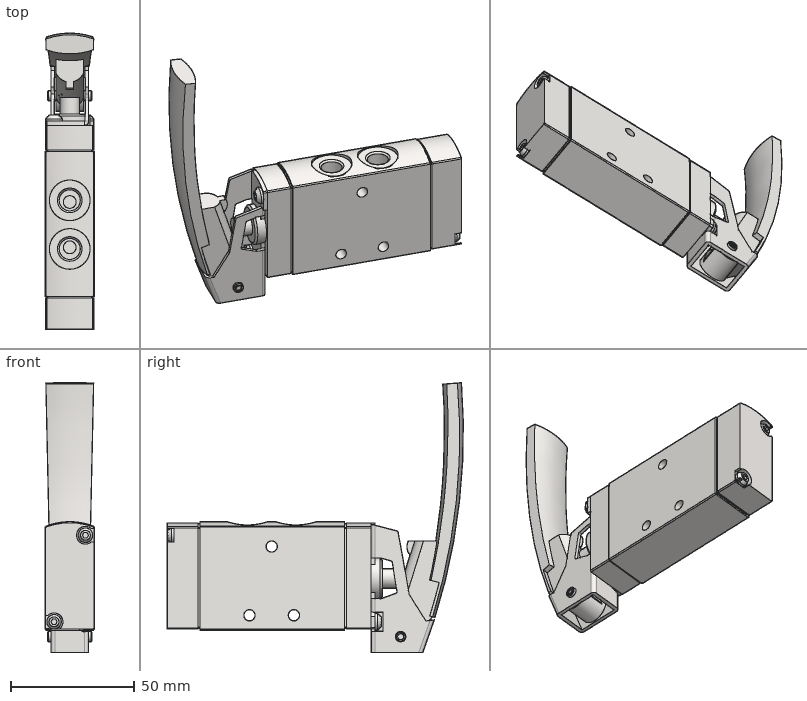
import cadquery as cq
import math


block_width = 20.0
block_edge_height = 42.3
block_crown_height = 44.0
cap_width = 19.5
cap_bottom = 0.5
cap_edge_height = 42.0
cap_crown_height = 43.6
edge_chamfer = 0.5
seal_width = 0.7
seal_inset = 0.4
rear_cap_length = 12.6
block_start = rear_cap_length + seal_width
block_length = 58.6
block_end = block_start + block_length
front_cap_start = block_end + seal_width
front_face = 82.6

port_spacing = 19.7
port_middle = 42.4
port_face_diameter = 16.5
port_face_height = 42.5
port_diameter = 8.5
port_mouth_diameter = 10.0
port_depth = 10.8
passage_diameter = 5.2
passage_spacing = 18.4
passage_depth = 21.6

mount_hole_diameter = 4.5
mount_hole_spacing = 18
mount_upper_height = 34.0
mount_lower_height = 6.1

screw_offset = 6.4
screw_low = 3.5
screw_high = 38.5
screw_places = ((-1, screw_high), (1, screw_low))
shank_diameter = 4.0
front_head_diameter = 6.8
rear_head_diameter = 5.9
head_tip_diameter = 4.0
head_rim = 0.8
head_height = 2.1
socket_size = 2.5
socket_depth = 1
counterbore_diameter = 7.2
counterbore_slot_height = 5.3
counterbore_depth = 2.8

button_height = 21.0
collar_diameter = 16.5
collar_length = 4.6
collar_chamfer = 0.8
button_diameter = 8.0
button_end = 93.9

sheet = 1.7
side_sheet = 1.5
bend_radius = 1.6
bracket_width = 15.2
bracket_bottom = -9.0
web_front = front_face + sheet
right_side_height = 42.6
left_side_height = 33.3
back_top = (108.3, 4.3)
back_bottom = (103.6, bracket_bottom)
upper_corner = (93.5, 40.2)
shoulder = (95.3, 30.5)
corner_radius = 1.0
relief_diameter = 8.0
relief_length = 3.1
window_top = 29.3
window_bottom = 12.8
window_corners = ((91.1, 28.0), (93.2, 15.2))
window_radius = 0.7

pin_y = 94.6
pin_z = -2.5
pin_diameter = 4.2
pin_length = 18
pin_chamfer = 0.4
pin_recess_diameter = 2.4
pin_recess_depth = 0.6

grip_center_z = 80.4
back_radius = 252.1
back_y = 120
back_crown = 1.7
front_radius = 282.1
front_y = 112.2
front_crown = 1.7
lever_top = 100.4
grip_bottom = 18.8
skin_bottom = 5.2
skin_thickness = 2.3
grip_half_width = 9.7
foot_half_width = 7.6
core_half_width = 5.6
core_top = 36.3
core_bottom = -4.8
core_shoulder_y = 103.8
core_nose_y = 100.1
core_lean = 0.31
nub_width = 3.1
nub_tip_y = 97.1
nub_height = 5.5
hub_radius = 6.4
hub_front = pin_y - hub_radius

slab_depth = 14.4
far = 144


def y_cylinder(x, z, diameter, start, end):
    """Round bar along Y."""
    return (
        cq.Workplane("XZ", origin=(x, start, z))
        .circle(diameter / 2)
        .extrude(start - end)
    )


def x_box(x_range, y_range, z_range):
    """Box between three pairs of limits."""
    low, high = zip(x_range, y_range, z_range)
    size = [top - bottom for bottom, top in zip(low, high)]
    return cq.Workplane("XY").box(*size, centered=False).translate(low)


def x_cylinder(y, z, diameter, length):
    """Round bar along X, centred on X = 0."""
    return cq.Workplane("YZ", origin=(0, y, z)).circle(diameter / 2).extrude(length / 2, both=True)


def side_plate(points, half_width):
    """Y-Z outline extruded equally to both sides."""
    return cq.Workplane("YZ").polyline(points).close().extrude(half_width, both=True)


def crowned_bar(width, bottom, edge_height, crown_height, start, end):
    """Bar along Y with chamfered corners and a crowned top."""
    half = width / 2
    c = edge_chamfer
    return (
        cq.Workplane("XZ", origin=(0, start, 0))
        .moveTo(c - half, bottom)
        .lineTo(half - c, bottom)
        .lineTo(half, bottom + c)
        .lineTo(half, edge_height - c)
        .lineTo(half - c, edge_height)
        .threePointArc((0, crown_height), (c - half, edge_height))
        .lineTo(-half, edge_height - c)
        .lineTo(-half, bottom + c)
        .close()
        .extrude(start - end)
    )


def cap_bar(start, end, inset=0):
    """Length of end cap profile, optionally inset all round."""
    return crowned_bar(
        cap_width - 2 * inset,
        cap_bottom + inset,
        cap_edge_height - inset,
        cap_crown_height - inset,
        start,
        end,
    )


def make_screw(x, z, head_diameter, seat, direction, shank_end):
    """Button head screw along Y; the head rises from the seat in the given direction (+1 or -1)."""
    rim = seat + direction * head_rim
    tip = seat + direction * head_height
    dome = (
        cq.Workplane("XY", origin=(x, 0, z))
        .moveTo(0, seat)
        .lineTo(head_diameter / 2, seat)
        .lineTo(head_diameter / 2, rim)
        .lineTo(head_tip_diameter / 2, tip)
        .lineTo(0, tip)
        .close()
        .revolve(360, (0, 0, 0), (0, 1, 0))
    )
    socket = (
        cq.Workplane("XZ", origin=(x, tip, z))
        .polygon(6, socket_size)
        .extrude(direction * socket_depth)
    )
    return dome.union(y_cylinder(x, z, shank_diameter, seat, shank_end)).cut(socket)


def make_block():
    """Valve block with two ports on top and three mounting holes across."""
    block = crowned_bar(
        block_width, 0, block_edge_height, block_crown_height, block_start, block_end
    )
    mouth_chamfer = (port_mouth_diameter - port_diameter) / 2
    for side in (-1, 1):
        port = cq.Workplane("XY", origin=(0, port_middle + side * port_spacing / 2, port_face_height))
        spotface = port.circle(port_face_diameter / 2).extrude(block_crown_height)
        bore = port.circle(port_diameter / 2).extrude(-port_depth)
        mouth = port.circle(port_mouth_diameter / 2).extrude(-mouth_chamfer, taper=45)
        passage = (
            cq.Workplane("XY", origin=(0, port_middle + side * passage_spacing / 2, port_face_height))
            .circle(passage_diameter / 2)
            .extrude(-passage_depth)
        )
        block = block.cut(spotface).cut(bore).cut(mouth).cut(passage)
    mount_places = (
        (port_middle, mount_upper_height),
        (port_middle - mount_hole_spacing / 2, mount_lower_height),
        (port_middle + mount_hole_spacing / 2, mount_lower_height),
    )
    for y, z in mount_places:
        block = block.cut(x_cylinder(y, z, mount_hole_diameter, block_width))
    return block


def make_rear_cap():
    """Plain end cap with two sunk screw heads."""
    cap = cap_bar(0, rear_cap_length).union(cap_bar(rear_cap_length, block_start, seal_inset))
    for side, z in screw_places:
        x = -side * screw_offset
        cap = cap.cut(y_cylinder(x, z, counterbore_diameter, 0, counterbore_depth))
        half_slot = counterbore_slot_height / 2
        slot_x = sorted((x, -side * cap_width))
        cap = cap.cut(x_box(slot_x, (0, counterbore_depth), (z - half_slot, z + half_slot)))
        cap = cap.union(make_screw(x, z, rear_head_diameter, counterbore_depth, -1.2, rear_cap_length))
    return cap


def make_front_cap():
    """Lever end cap with its push button and the two screws that hold the bracket."""
    cap = cap_bar(front_cap_start, front_face).union(cap_bar(block_end, front_cap_start, seal_inset))
    collar = y_cylinder(0, button_height, collar_diameter, front_face, front_face + collar_length)
    collar = collar.faces(">Y").chamfer(collar_chamfer)
    button = y_cylinder(0, button_height, button_diameter, front_face, button_end)
    cap = cap.union(collar).union(button)
    for side, z in screw_places:
        x = side * screw_offset
        cap = cap.union(make_screw(x, z, front_head_diameter, web_front, 1.2, front_face))
    return cap


def near(place):
    """Selector for edges, on any X, whose middle is close to a Y-Z place."""
    reach = 0.6
    y, z = place
    return cq.selectors.BoxSelector((-far, y - reach, z - reach), (far, y + reach, z + reach))


def make_folded_sheet():
    """Web, two equal sides and slanted back, folded with rounded outer bends."""
    half = bracket_width / 2
    outline = [
        (front_face, bracket_bottom),
        back_bottom,
        back_top,
        (104.8, 3.8),
        (98.1, 14.5),
        shoulder,
        upper_corner,
        (web_front, right_side_height),
        (front_face, right_side_height),
    ]
    hollow = [
        (web_front, -far),
        (back_bottom[0] - sheet, -far),
        (back_bottom[0] - sheet, bracket_bottom),
        (back_top[0] - sheet, back_top[1]),
        (back_top[0] - sheet, far),
        (web_front, far),
    ]
    folded = side_plate(outline, half)
    folded = folded.edges(near(upper_corner)).fillet(corner_radius)
    folded = folded.edges("|Z").edges("<Y").fillet(bend_radius)
    back_middle = [(low + high) / 2 for low, high in zip(back_bottom, back_top)]
    folded = folded.edges(near(back_middle)).fillet(bend_radius)
    return folded.cut(side_plate(hollow, half - side_sheet))


def cut_down_left_side():
    """Space above the left side, which leaves the upper screw in reach."""
    outline = [
        (front_face, left_side_height),
        (web_front, left_side_height),
        shoulder,
        (far, shoulder[1]),
        (far, far),
        (front_face, far),
    ]
    return cq.Workplane("YZ").polyline(outline).close().extrude(-bracket_width)


def make_ears():
    """Web extensions under the two screw heads, as wide as the cap."""
    web_range = (front_face, web_front)
    half_cap = cap_width / 2
    upper = cap_bar(front_face, web_front).intersect(
        x_box((-half_cap, bracket_width / 2 - sheet), web_range, (left_side_height, far))
    )
    lower = y_cylinder(screw_offset, screw_low, relief_diameter, front_face, web_front)
    lower = lower.intersect(x_box((0, half_cap), web_range, (cap_bottom, far)))
    return upper.union(lower)


def bracket_window():
    """Opening through both sides and their bends, beside the button."""
    outline = [
        (front_face, window_top),
        (86.4, window_top),
        *window_corners,
        (86.5, window_bottom),
        (front_face, window_bottom),
    ]
    window = side_plate(outline, bracket_width)
    for corner in window_corners:
        window = window.edges(near(corner)).fillet(window_radius)
    bend_start = bracket_width / 2 - sheet
    web = x_box((-bend_start, bend_start), (front_face, web_front), (window_bottom, window_top))
    return window.cut(web)


def make_bracket():
    """Folded sheet bracket that carries the lever."""
    relief_end = web_front + relief_length
    bracket = make_folded_sheet()
    bracket = bracket.cut(cut_down_left_side())
    bracket = bracket.cut(y_cylinder(screw_offset, screw_low, relief_diameter, front_face, relief_end))
    bracket = bracket.union(make_ears()).cut(bracket_window())
    bracket = bracket.cut(y_cylinder(0, button_height, collar_diameter, front_face, web_front))
    for side, z in screw_places:
        bracket = bracket.cut(y_cylinder(side * screw_offset, z, shank_diameter, front_face, web_front))
    return bracket.cut(x_cylinder(pin_y, pin_z, pin_diameter, bracket_width))


def make_pin():
    """Hinge pin with a shallow recess in each end."""
    pin = x_cylinder(pin_y, pin_z, pin_diameter, pin_length)
    pin = pin.faces("<X or >X").chamfer(pin_chamfer)
    recesses = x_cylinder(pin_y, pin_z, pin_recess_diameter, pin_length).cut(
        x_cylinder(pin_y, pin_z, pin_recess_diameter, pin_length - 2 * pin_recess_depth)
    )
    return pin.cut(recesses)


def swept(section, outer_y, radius, z_top, z_bottom):
    """Turn a section about an X axis so that its Y = outer_y follows an arc between two heights."""
    axis_y = outer_y - radius

    def turn_angle(z):
        return math.degrees(math.asin((z - grip_center_z) / radius))

    turned = section.revolve(turn_angle(z_top) - turn_angle(z_bottom), (0, axis_y, 0), (1, axis_y, 0))
    return turned.rotate((0, axis_y, grip_center_z), (1, axis_y, grip_center_z), turn_angle(z_bottom))


def back_slab(thickness, z_top, z_bottom):
    """Curved slab with a crowned back."""
    edge = back_y - back_crown
    section = (
        cq.Workplane("XY", origin=(0, 0, grip_center_z))
        .moveTo(-grip_half_width, edge)
        .threePointArc((0, back_y), (grip_half_width, edge))
        .lineTo(grip_half_width, back_y - thickness)
        .lineTo(-grip_half_width, back_y - thickness)
        .close()
    )
    return swept(section, back_y, back_radius, z_top, z_bottom)


def front_slab():
    """Curved slab with a bulged front, longer and deeper than the grip."""
    edge = front_y + front_crown
    section = (
        cq.Workplane("XY", origin=(0, 0, grip_center_z))
        .moveTo(-grip_half_width, edge)
        .threePointArc((0, front_y), (grip_half_width, edge))
        .lineTo(grip_half_width, edge + slab_depth)
        .lineTo(-grip_half_width, edge + slab_depth)
        .close()
    )
    return swept(section, front_y, front_radius, 2 * grip_center_z, -grip_center_z)


def make_handle():
    """Grip and the thin skin below it, tapered to the foot."""
    grip = back_slab(slab_depth, lever_top, grip_bottom).intersect(front_slab())
    skin = back_slab(skin_thickness, grip_bottom, skin_bottom)
    taper = (
        cq.Workplane("XZ")
        .moveTo(-foot_half_width, 0)
        .lineTo(foot_half_width, 0)
        .lineTo(grip_half_width, lever_top)
        .lineTo(grip_half_width, far)
        .lineTo(-grip_half_width, far)
        .lineTo(-grip_half_width, lever_top)
        .close()
        .extrude(-far)
    )
    return grip.union(skin).intersect(taper)


def make_core():
    """Leaning core with a rounded front, from the grip down to the hinge hub."""
    height = core_top - core_bottom
    section = (
        cq.Workplane("XY", origin=(0, 0, core_top))
        .moveTo(-core_half_width, far)
        .lineTo(-core_half_width, core_shoulder_y)
        .threePointArc((0, core_nose_y), (core_half_width, core_shoulder_y))
        .lineTo(core_half_width, far)
        .close()
        .wire()
    )
    lean = cq.Vector(0, -core_lean * height, -height)
    column = cq.Workplane(cq.Solid.extrudeLinear(section.val(), [], lean))
    outline = [
        (114.3, core_top),
        (111.2, grip_bottom),
        (107.2, skin_bottom),
        (99.6, core_bottom),
        (hub_front, core_bottom),
        (hub_front, core_top),
    ]
    return column.intersect(side_plate(outline, core_half_width))


def make_nub():
    """Narrow rounded nub on the front of the core, at its top."""
    nub_bottom = core_top - nub_height
    return (
        cq.Workplane("YZ")
        .moveTo(core_nose_y + 1.2, core_top)
        .lineTo(nub_tip_y + 0.6, core_top)
        .threePointArc((nub_tip_y, core_top - nub_height / 2), (nub_tip_y + 1.1, nub_bottom))
        .lineTo(core_nose_y, nub_bottom)
        .close()
        .extrude(nub_width / 2, both=True)
    )


def make_lever():
    """Hand lever that rests against the push button."""
    hub = x_cylinder(pin_y, pin_z, 2 * hub_radius, 2 * core_half_width)
    lever = make_handle().union(make_core()).union(make_nub()).union(hub)
    lever = lever.cut(y_cylinder(0, button_height, button_diameter, front_face, button_end))
    return lever.cut(x_cylinder(pin_y, pin_z, pin_diameter, bracket_width))


block = make_block()
rear_cap = make_rear_cap()
front_cap = make_front_cap()
bracket = make_bracket()
pin = make_pin()
lever = make_lever()

result = cq.Compound.makeCompound(
    [block.val(), rear_cap.val(), front_cap.val(), bracket.val(), pin.val(), lever.val()]
)